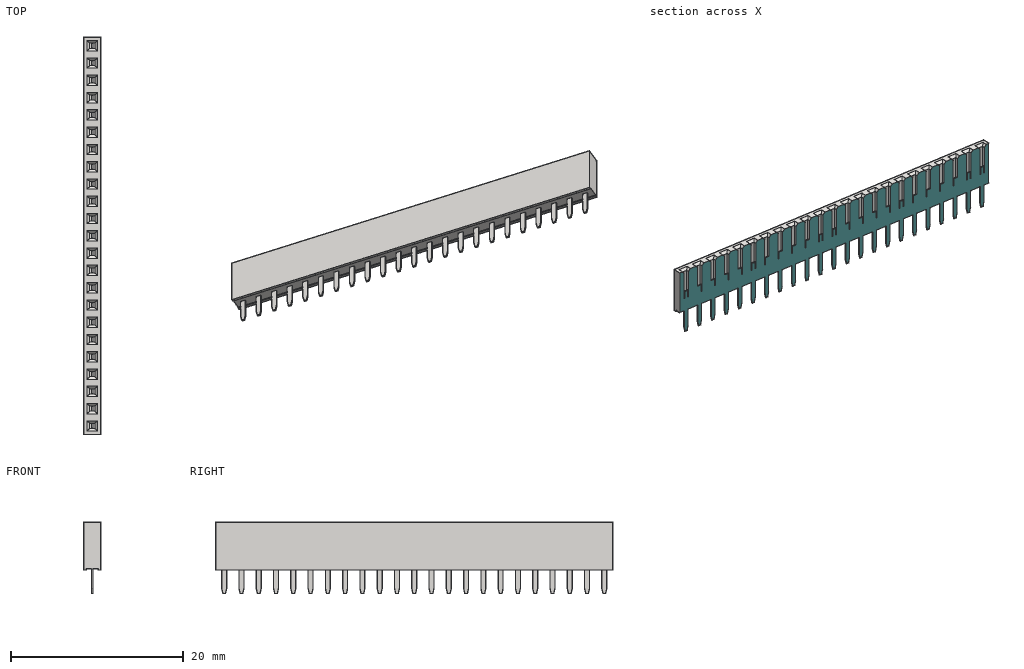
import cadquery as cq

length = 46.0
width = 2.0
height = 8.3

contact_count = 23
pitch = length / contact_count
body_height = 5.55
pin_length = height - body_height

channel_width = 1.4
channel_depth = 0.15

mouth_size = 1.2
throat_size = 0.6
lead_in_depth = (mouth_size - throat_size) / 2
well_floor = 1.85

contact_thickness = 0.2
pin_width = 0.6
pin_root = 0.45
tip_width = 0.3
tip_length = 0.6
blade_width = 0.5
blade_rise = 0.9


def make_housing():
    """Housing standing on Z = 0, with the channel cut along its underside."""
    block = cq.Workplane("XY").box(width, length, body_height, centered=(True, True, False))
    channel = cq.Workplane("XY").box(
        channel_width, length, channel_depth, centered=(True, True, False)
    )
    return block.cut(channel)


def make_socket():
    """Space of one socket, centred on the Z axis."""
    lead_in = (
        cq.Workplane("XY", origin=(0, 0, body_height))
        .rect(mouth_size, mouth_size)
        .workplane(offset=-lead_in_depth)
        .rect(throat_size, throat_size)
        .loft(ruled=True)
    )
    well_height = body_height - lead_in_depth - well_floor
    well = cq.Workplane("XY", origin=(0, 0, well_floor)).box(
        throat_size, throat_size, well_height, centered=(True, True, False)
    )
    return lead_in.union(well)


def make_contact():
    """One flat contact on the Z axis: tapered pin tip, pin, and blade rising into the well."""
    blade_top = well_floor + blade_rise
    taper_start = tip_length - pin_length
    outline = [
        (tip_width / 2, -pin_length),
        (pin_width / 2, taper_start),
        (pin_width / 2, pin_root),
        (blade_width / 2, pin_root),
        (blade_width / 2, blade_top),
        (-blade_width / 2, blade_top),
        (-blade_width / 2, pin_root),
        (-pin_width / 2, pin_root),
        (-pin_width / 2, taper_start),
        (-tip_width / 2, -pin_length),
    ]
    return cq.Workplane("YZ").polyline(outline).close().extrude(contact_thickness / 2, both=True)


def along_row(feature):
    """Copies of a feature at every contact position along Y."""
    shape = feature.val()
    row = cq.Workplane("XY").rarray(0.45, pitch, 1, contact_count)
    return row.eachpoint(lambda place: shape.moved(place))


result = make_housing().cut(along_row(make_socket())).union(along_row(make_contact()))